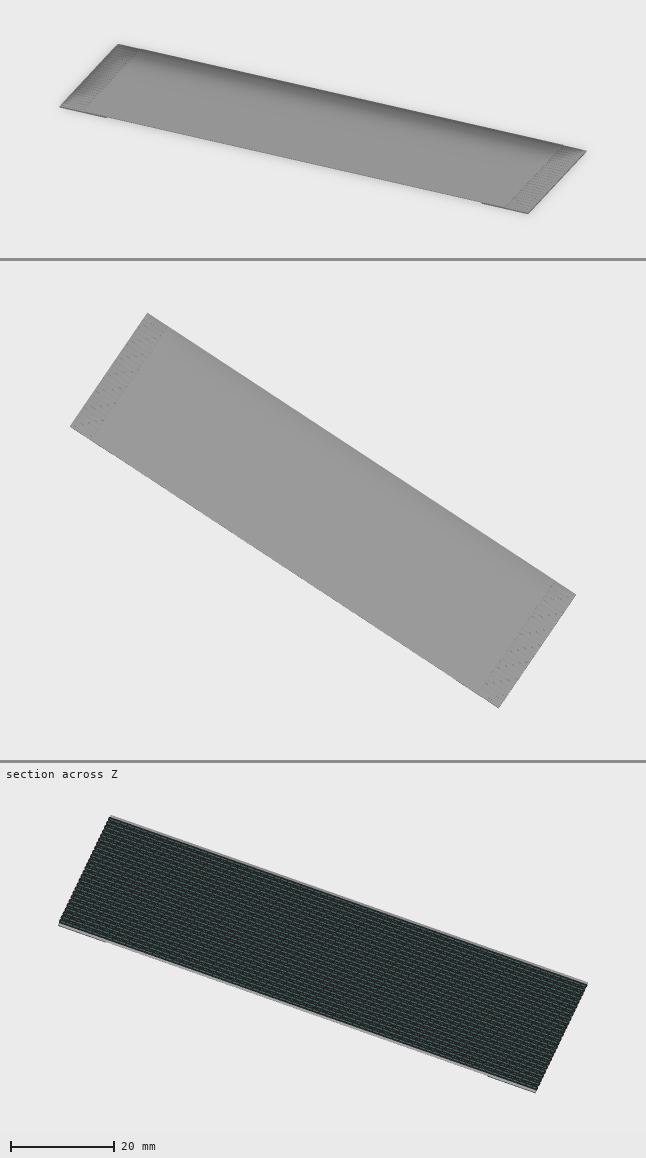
import cadquery as cq

cable_length = 100.0
conductor_pitch = 1.0
conductor_count = 26
conductor_width = 0.7
cable_width = (conductor_count + 1) * conductor_pitch

stripped_length = 5.0
stiffener_length = 10.0

stiffener_thickness = 0.23
base_film_thickness = 0.05
conductor_thickness = 0.03
cover_film_thickness = 0.05

base_film_bottom = stiffener_thickness
conductor_bottom = base_film_bottom + base_film_thickness
cover_film_bottom = conductor_bottom + conductor_thickness


def sheet(length, width, thickness, bottom, center_x=0.0, center_y=0.0):
    """Flat rectangular layer whose underside lies at height `bottom`."""
    blank = cq.Workplane("XY").box(length, width, thickness, centered=(True, True, False))
    return blank.translate((center_x, center_y, bottom))


def add_stiffeners(body):
    """Backing plates under both ends."""
    offset = (cable_length - stiffener_length) / 2
    for side in (-1, 1):
        body = body.union(sheet(stiffener_length, cable_width, stiffener_thickness, 0, side * offset))
    return body


def add_conductors(body):
    """Parallel flat strips on the base film, with open gaps between them."""
    first_y = -(conductor_count - 1) / 2 * conductor_pitch
    for index in range(conductor_count):
        conductor_y = first_y + index * conductor_pitch
        strip = sheet(
            cable_length, conductor_width, conductor_thickness, conductor_bottom, center_y=conductor_y
        )
        body = body.union(strip)
    return body


def add_cover_film(body):
    """Top film resting on the conductors, leaving both ends bare."""
    cover_length = cable_length - 2 * stripped_length
    return body.union(sheet(cover_length, cable_width, cover_film_thickness, cover_film_bottom))


cable = sheet(cable_length, cable_width, base_film_thickness, base_film_bottom)
cable = add_stiffeners(cable)
cable = add_conductors(cable)
cable = add_cover_film(cable)

result = cable